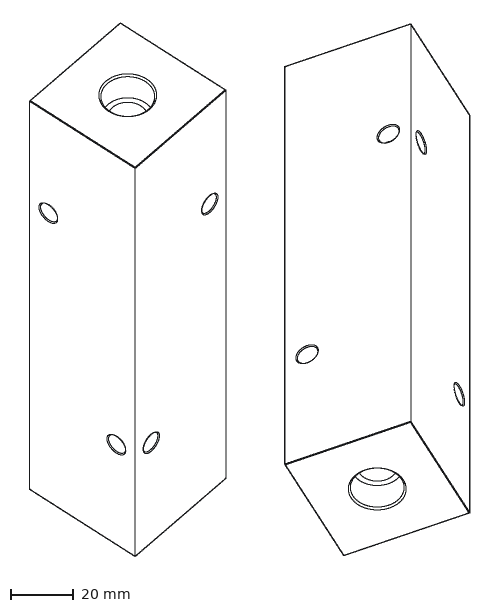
import cadquery as cq

LENGTH = 184.2
SIDE = 44.4
END_CHAMFER = 0.22

PASSAGE_DIAMETER = 12.7
SOCKET_MOUTH_DIAMETER = 18.5
SOCKET_DIAMETER = 17.1
SOCKET_FLOOR_DIAMETER = 16.5
SOCKET_DEPTH = 10.3

HOLE_DIAMETER = 7.2
HOLE_MOUTH_DIAMETER = 8.0
HOLE_EDGE_DISTANCE = 8.0
HOLE_END_DISTANCE = 47.5

HOLE_OFFSET = SIDE / 2 - HOLE_EDGE_DISTANCE
HOLE_HEIGHT = LENGTH / 2 - HOLE_END_DISTANCE


def chamfered_bore(mouth_diameter, diameter, floor_diameter, depth):
    """Cutter along +Z from the origin: a 45 degree mouth, then a wall narrowing to the floor."""
    mouth_radius = mouth_diameter / 2
    radius = diameter / 2
    chamfer = mouth_radius - radius
    profile = (
        cq.Workplane("XZ")
        .moveTo(0, 0)
        .lineTo(mouth_radius, 0)
        .lineTo(radius, chamfer)
        .lineTo(floor_diameter / 2, depth)
        .lineTo(0, depth)
        .close()
    )
    return profile.revolve(360, (0, 0, 0), (0, 1, 0))


def mirrored_pair(cutter, span):
    """Move a cutter's mouth down by half the span and add its mirror image above."""
    lower = cutter.translate((0, 0, -span / 2))
    return lower.union(lower.mirror("XY"))


def port_bore():
    """Passage along the whole bar with a socket at each end."""
    passage = cq.Workplane("XY").circle(PASSAGE_DIAMETER / 2).extrude(LENGTH / 2, both=True)
    socket = chamfered_bore(
        SOCKET_MOUTH_DIAMETER, SOCKET_DIAMETER, SOCKET_FLOOR_DIAMETER, SOCKET_DEPTH
    )
    return passage.union(mirrored_pair(socket, LENGTH))


def cross_hole():
    """Straight through hole along Z with both mouths chamfered."""
    half_hole = chamfered_bore(HOLE_MOUTH_DIAMETER, HOLE_DIAMETER, HOLE_DIAMETER, SIDE / 2)
    return mirrored_pair(half_hole, SIDE)


bar = cq.Workplane("XY").box(SIDE, SIDE, LENGTH).faces("|Z").chamfer(END_CHAMFER)
result = bar.cut(port_bore())

hole_along_x = cross_hole().rotate((0, 0, 0), (0, 1, 0), 90)
hole_along_y = cross_hole().rotate((0, 0, 0), (1, 0, 0), 90)

for end in (1, -1):
    height = end * HOLE_HEIGHT
    offset = end * HOLE_OFFSET
    result = result.cut(hole_along_x.translate((0, offset, height)))
    result = result.cut(hole_along_y.translate((-offset, 0, height)))